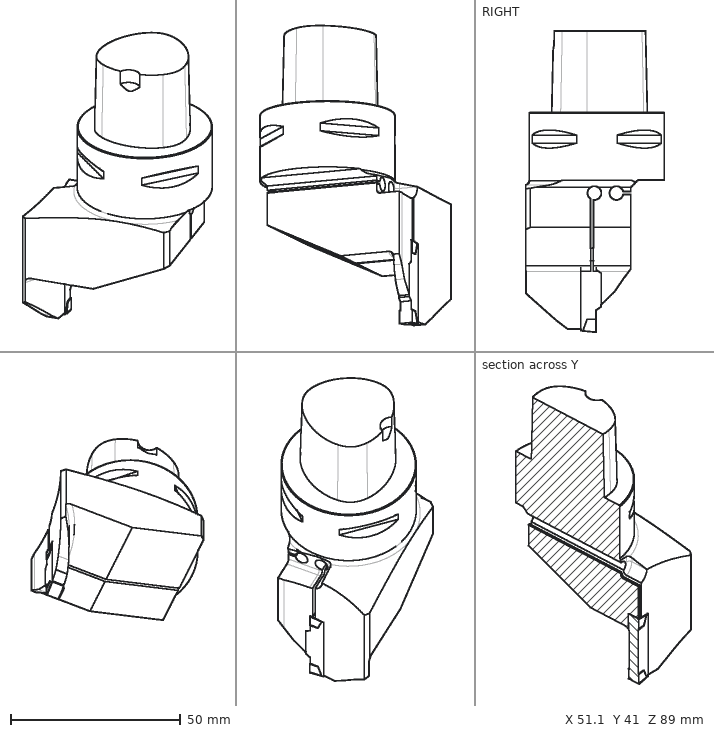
import cadquery as cq
import math


TOTAL_LENGTH = 89.0
TOTAL_WIDTH = 51.1
TOTAL_DEPTH = 41.0
OVERSIZE = 53.4

SHANK_LENGTH = 24.0
TIP_Z = SHANK_LENGTH - TOTAL_LENGTH
SHANK_BASE_R = 14.15
SHANK_TOP_R = 13.6
SHANK_LOBE = 0.8
CORNER_HALF_ANGLE = 27.5
LOBES = 3
CURVE_STEPS = 8

NOTCH_R = 3.4
NOTCH_Y = -14.1
NOTCH_DEPTH = 4.2
NOTCH_CONE = 2.6

FLANGE_R = 40.0 / 2
FLANGE_BOTTOM = -20.0
FLANGE_CHAMFER = 0.3

GRIP_COUNT = 4
GRIP_Z = -7.9
GRIP_FLAT_R = 17.7
GRIP_FLOOR_WIDTH = 2.3
GRIP_MOUTH_WIDTH = 5.3

HEAD_LEFT = FLANGE_R - TOTAL_WIDTH
HEAD_RIGHT = 15.0
HEAD_FRONT = FLANGE_R - TOTAL_DEPTH
HEAD_BACK = 10.1
HEAD_BOTTOM = -45.3
SLOPE_START_Z = -34.0
SLOPE_END_X = -8.5
FLARE = 2.1
LEFT_CHAMFER_X = 1.25
LEFT_CHAMFER_Y = 1.1
RIGHT_CHAMFER = 1.3

SHOULDER_SLOPE = math.tan(math.radians(15.0))
SHOULDER_Z = -21.2
NECK_TOP = -20.3
NECK_WIDTH = 1.1
NECK_HOLLOW = 0.22

INSERT_TOP = -40.0
INSERT_MID_Z = (TIP_Z + INSERT_TOP) / 2
INSERT_HALF = (INSERT_TOP - TIP_Z) / 2
RAKE_Y = -0.2
WAIST_Y = 1.25
WAIST_HALF = 5.0
WAIST_RAMP_HALF = 6.0
SEAT_Y = -4.7
END_RELIEF = 0.45
TIP_LEFT = -27.15
TIP_WIDTH = 4.1
TIP_LENGTH = 3.9
TIP_OUTER_Y = -4.1
TIP_INNER_Y = -2.85

OUTER_MID_X = -26.9
OUTER_MID_Y = 0.9
BACK_FLAT_X = -27.4
BACK_FLAT_LENGTH = 2.0
INNER_ARC_R = 31.15
INNER_MID_X = -23.3
INNER_MID_Y = -1.8
BLADE_FILLET = 1.6

JAW_TIP_Z = -64.0
FRONT_OUTLINE = [(HEAD_FRONT, -53.4), (-11.9, -61.5), (-8.6, JAW_TIP_Z)]
BACK_OUTLINE = [(5.3, -52.9), (8.0, -48.95), (HEAD_BACK, -46.3)]
CLAMP_TIP_Z = -56.9

FLEX_Z = -23.85
FLEX_HOLE_DIAMETER = 4.0
BACK_HOLE_Y = 5.8
FRONT_HOLE_Y = -0.7
SLOT_WIDTH = 0.8
CLAMP_SLOT_Y = -1.4

RECESS_X = -20.2
RECESS_FLOOR = -27.4
RECESS_FRONT = -4.2
RECESS_CORNER_R = 4.3
RECESS_FILLET = 1.1


def lobe_point(mean_r, degrees):
    """Point of the constant-width trilobe whose normal is turned by this angle from +Y, where one lobe is."""
    a = math.radians(degrees)
    along = mean_r * math.cos(a) + SHANK_LOBE * (2 * math.cos(2 * a) - math.cos(4 * a))
    across = mean_r * math.sin(a) - SHANK_LOBE * (2 * math.sin(2 * a) + math.sin(4 * a))
    return across, along


def lobe_curve(mean_r, z, start, end):
    """Smooth stretch of the trilobe between two normal angles."""
    step = (end - start) / CURVE_STEPS
    points = [cq.Vector(*lobe_point(mean_r, start + step * i), z) for i in range(CURVE_STEPS + 1)]
    return cq.Edge.makeSpline(points)


def lobe_section(mean_r, z):
    """Trilobe outline at one height, made of three lobe and three flank curves."""
    pitch = 360 / LOBES
    edges = []
    for lobe in range(LOBES):
        start = pitch * lobe - CORNER_HALF_ANGLE
        end = pitch * lobe + CORNER_HALF_ANGLE
        edges.append(lobe_curve(mean_r, z, start, end))
        edges.append(lobe_curve(mean_r, z, end, start + pitch))
    return cq.Wire.assembleEdges(edges)


def make_shank():
    """Tapered trilobe shank with a drilled notch in its front flank."""
    base = lobe_section(SHANK_BASE_R, 0)
    top = lobe_section(SHANK_TOP_R, SHANK_LENGTH)
    shank = cq.Workplane(cq.Solid.makeLoft([base, top], True))
    floor = SHANK_LENGTH - NOTCH_DEPTH
    notch = (
        cq.Workplane("XZ")
        .polyline([(0, SHANK_LENGTH), (NOTCH_R, SHANK_LENGTH), (NOTCH_R, floor), (0, floor - NOTCH_CONE)])
        .close()
        .revolve(360, (0, 0), (0, 1))
        .translate((0, NOTCH_Y, 0))
    )
    return shank.cut(notch)


def make_flange():
    """Round flange with straight gripper grooves on its diagonals."""
    flange = cq.Workplane("XY").circle(FLANGE_R).extrude(FLANGE_BOTTOM)
    flange = flange.faces(">Z").edges().chamfer(FLANGE_CHAMFER)
    floor = GRIP_FLOOR_WIDTH / 2
    mouth = GRIP_MOUTH_WIDTH / 2
    groove = (
        cq.Workplane("XZ")
        .polyline([(GRIP_FLAT_R, -floor), (FLANGE_R, -mouth), (FLANGE_R, mouth), (GRIP_FLAT_R, floor)])
        .close()
        .extrude(FLANGE_R, both=True)
        .translate((0, 0, GRIP_Z))
    )
    pitch = 360 / GRIP_COUNT
    for i in range(GRIP_COUNT):
        flange = flange.cut(groove.rotate((0, 0, 0), (0, 0, 1), pitch * (i + 0.5)))
    return flange


def make_plan():
    """Prism of the head outline along Z, with the concave left face and both front chamfers."""
    right = HEAD_RIGHT + FLARE
    back = HEAD_BACK + FLARE
    return (
        cq.Workplane("XY", origin=(0, 0, FLANGE_BOTTOM))
        .moveTo(BACK_FLAT_X, back)
        .lineTo(BACK_FLAT_X, HEAD_BACK - BACK_FLAT_LENGTH)
        .threePointArc((OUTER_MID_X, OUTER_MID_Y), (HEAD_LEFT, HEAD_FRONT + LEFT_CHAMFER_Y))
        .lineTo(HEAD_LEFT + LEFT_CHAMFER_X, HEAD_FRONT)
        .lineTo(HEAD_RIGHT - RIGHT_CHAMFER, HEAD_FRONT)
        .lineTo(right, HEAD_FRONT + RIGHT_CHAMFER + FLARE)
        .lineTo(right, back)
        .close()
        .extrude(TIP_Z - FLANGE_BOTTOM)
    )


def make_blade(plan):
    """Curved blade over the full head height: the part of the plan inside the inner arc."""
    inner_cylinder = (
        cq.Workplane("XY")
        .center(INNER_MID_X - INNER_ARC_R, INNER_MID_Y)
        .circle(INNER_ARC_R)
        .extrude(TIP_Z)
    )
    return plan.intersect(inner_cylinder)


def make_head_block(plan):
    """Head above the blade, with its sloped underside and the flare on the right."""
    front_shape = (
        cq.Workplane("XZ")
        .moveTo(HEAD_LEFT, FLANGE_BOTTOM)
        .lineTo(HEAD_RIGHT + FLARE, FLANGE_BOTTOM)
        .lineTo(HEAD_RIGHT, FLANGE_BOTTOM - FLARE)
        .lineTo(HEAD_RIGHT, SLOPE_START_Z)
        .lineTo(SLOPE_END_X, HEAD_BOTTOM)
        .lineTo(HEAD_LEFT, HEAD_BOTTOM)
        .close()
        .extrude(OVERSIZE, both=True)
    )
    return front_shape.intersect(plan)


def make_side_shape():
    """Prism of the head and blade outline along X."""
    outline = [
        (HEAD_FRONT, FLANGE_BOTTOM),
        *FRONT_OUTLINE,
        (SEAT_Y, JAW_TIP_Z),
        (SEAT_Y, CLAMP_TIP_Z),
        (WAIST_Y, CLAMP_TIP_Z),
        *BACK_OUTLINE,
        (HEAD_BACK, FLANGE_BOTTOM - FLARE),
        (HEAD_BACK + FLARE, FLANGE_BOTTOM),
    ]
    return cq.Workplane("YZ").polyline(outline).close().extrude(OVERSIZE, both=True)


def make_shoulder():
    """Turned envelope of the head: a short cylinder, a concave neck and a shallow cone."""
    neck_z = SHOULDER_Z - SHOULDER_SLOPE * NECK_WIDTH
    neck_chord = math.hypot(NECK_WIDTH, NECK_TOP - neck_z)
    hollow_r = FLANGE_R + NECK_WIDTH / 2 - NECK_HOLLOW * (NECK_TOP - neck_z) / neck_chord
    hollow_z = (NECK_TOP + neck_z) / 2 - NECK_HOLLOW * NECK_WIDTH / neck_chord
    rim_z = SHOULDER_Z - SHOULDER_SLOPE * (OVERSIZE - FLANGE_R)
    return (
        cq.Workplane("XZ")
        .moveTo(0, FLANGE_BOTTOM)
        .lineTo(FLANGE_R, FLANGE_BOTTOM)
        .lineTo(FLANGE_R, NECK_TOP)
        .threePointArc((hollow_r, hollow_z), (FLANGE_R + NECK_WIDTH, neck_z))
        .lineTo(OVERSIZE, rim_z)
        .lineTo(OVERSIZE, TIP_Z)
        .lineTo(0, TIP_Z)
        .close()
        .revolve(360, (0, 0), (0, 1))
    )


def make_head(plan, blade):
    """Head and blade as one block, rounded where the blade leaves the underside."""
    lower_blade = blade.intersect(
        cq.Workplane("XY", origin=(0, 0, TIP_Z))
        .rect(2 * OVERSIZE, 2 * OVERSIZE)
        .extrude(HEAD_BOTTOM - TIP_Z)
    )
    block = make_head_block(plan).union(lower_blade)
    root = cq.NearestToPointSelector((INNER_MID_X, INNER_MID_Y, HEAD_BOTTOM))
    block = block.edges(root).fillet(BLADE_FILLET)
    return block.intersect(make_side_shape()).intersect(make_shoulder())


def cut_flexure(head):
    """Two cross holes, the back slot and the clamp slot that let the upper jaw flex."""
    for y in (BACK_HOLE_Y, FRONT_HOLE_Y):
        hole = cq.Workplane("YZ").center(y, FLEX_Z).circle(FLEX_HOLE_DIAMETER / 2)
        head = head.cut(hole.extrude(OVERSIZE, both=True))
    back_length = HEAD_BACK + FLARE - BACK_HOLE_Y
    back_slot = cq.Workplane("XY").box(2 * OVERSIZE, back_length, SLOT_WIDTH)
    head = head.cut(back_slot.translate((0, BACK_HOLE_Y + back_length / 2, FLEX_Z)))
    drop = FLEX_Z - TIP_Z
    clamp_slot = cq.Workplane("XY").box(2 * OVERSIZE, SLOT_WIDTH, drop)
    return head.cut(clamp_slot.translate((0, CLAMP_SLOT_Y, TIP_Z + drop / 2)))


def cut_jaw_recess(head):
    """Lower the top of the jaw beside the flange, with a round front corner and a filleted wall."""
    recess = (
        cq.Workplane("YZ")
        .rect(OVERSIZE, OVERSIZE)
        .extrude(-OVERSIZE)
        .edges("<Y and <Z")
        .fillet(RECESS_CORNER_R)
        .faces(">X")
        .edges()
        .fillet(RECESS_FILLET)
        .translate((RECESS_X, RECESS_FRONT + OVERSIZE / 2, RECESS_FLOOR + OVERSIZE / 2))
    )
    return head.cut(recess)


def make_insert_tip(side):
    """Cutting tip at the top (side 1) or bottom (side -1) end of the insert."""
    end = side * INSERT_HALF
    relieved_end = side * (INSERT_HALF - END_RELIEF)
    inner = side * (INSERT_HALF - TIP_LENGTH)
    outline = [(RAKE_Y, end), (TIP_OUTER_Y, relieved_end), (TIP_INNER_Y, inner), (RAKE_Y, inner)]
    tip = cq.Workplane("YZ").polyline(outline).close().extrude(TIP_WIDTH)
    return tip.translate((TIP_LEFT, 0, INSERT_MID_Z))


def make_insert(blade):
    """Double-ended insert: a waisted body flush with the blade faces and two wider tips."""
    relieved_end = INSERT_HALF - END_RELIEF
    outline = [
        (RAKE_Y, INSERT_HALF),
        (SEAT_Y, relieved_end),
        (SEAT_Y, -relieved_end),
        (RAKE_Y, -INSERT_HALF),
        (RAKE_Y, -WAIST_RAMP_HALF),
        (WAIST_Y, -WAIST_HALF),
        (WAIST_Y, WAIST_HALF),
        (RAKE_Y, WAIST_RAMP_HALF),
    ]
    body = cq.Workplane("YZ").polyline(outline).close().extrude(OVERSIZE, both=True)
    body = body.translate((0, 0, INSERT_MID_Z)).intersect(blade)
    for side in (1, -1):
        body = body.union(make_insert_tip(side))
    return body


plan = make_plan()
blade = make_blade(plan)
insert = make_insert(blade)
head = cut_jaw_recess(cut_flexure(make_head(plan, blade)))
holder = head.union(make_flange()).union(make_shank()).cut(insert)
result = cq.Compound.makeCompound([holder.val(), insert.val()])